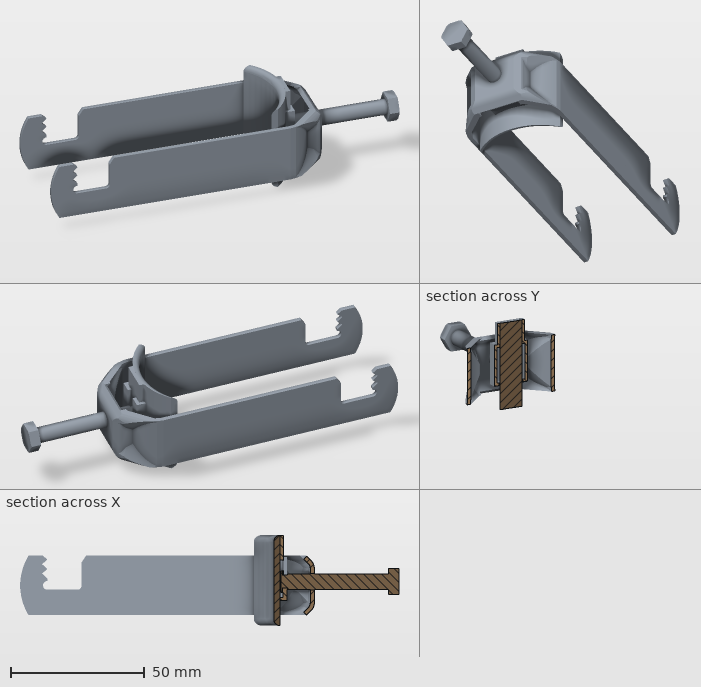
import cadquery as cq
import math


bracket_width = 39.0
sheet = 1.7
bracket_top = 9.6
bracket_bottom = -12.6
bracket_mid = (bracket_top + bracket_bottom) / 2
bracket_half_height = (bracket_top - bracket_bottom) / 2
web_y = 110.1
web_half_length = 8.2
leg_end_y = 94.1
lip_size = 3.0
lip_bend_radius = 4.3
corner_lip_size = 1.8
corner_mid = (15.3, 104.1)
corner_face_distance = 84.7

end_bulge = 3.1
slot_wall_y = 23.0
slot_floor_z = -3.1
slot_corner_radius = 1.4
slot_chamfer_y = 1.7
slot_chamfer_z = 2.5
tooth_tip_y = 10.2
tooth_depth = 2.0
tooth_pitch = 3.5
first_tooth_z = 8.2
tooth_count = 3
top_land_y = 8.5
hook_round = 3.3

dimple_lip_x = 11.0
dimple_lip_radius = 3.0
dimple_root = (11.6, 103.3)
dimple_floor_mid = (15.9, 100.2)
dimple_end = (19.3, 96.0)
dimple_root_half = 3.4
dimple_end_half = 10.2
dimple_side_slope = 1.7

bolt_diameter = 6.1
bolt_end_y = 141.7
head_height = 4.0
head_across_corners = 11.5
head_chamfer = 0.4
neck_diameter = 5.1
collar_diameter = 8.2

saddle_size = 34.0
saddle_top = 17.4
saddle_radius = 23.4
saddle_thickness = 2.5
saddle_crown_y = 97.3
saddle_edge_radius = 2.4

clip_width = 14.2
clip_outer_y = 99.9
clip_plate = 1.7
clip_wall = 1.3
clip_bottom = -7.1
clip_top = 9.2
tab_width = 11.6
tab_outer_y = 98.5
clip_plate_y = clip_outer_y - clip_plate

beyond = 28.3


def disc(diameter, y_from, y_to):
    """A cylinder on the bolt axis."""
    return cq.Workplane("XZ", origin=(0, y_to, 0)).circle(diameter / 2).extrude(y_to - y_from)


def block(x_size, y_from, y_to, z_from, z_to):
    """A box centred on X = 0."""
    return (
        cq.Workplane("XY", origin=(0, (y_from + y_to) / 2, z_from))
        .rect(x_size, y_to - y_from)
        .extrude(z_to - z_from)
    )


def folded_bar(face_distance, lip, inset):
    """A long bar whose +Y face folds back at 45 degrees along its upper and lower edges."""
    face = face_distance - inset
    fold_sum = face_distance + bracket_half_height - lip - inset * math.sqrt(2)
    fold_z = fold_sum - face
    back_z = fold_z + beyond
    return (
        cq.Workplane("YZ", origin=(-bolt_end_y, 0, bracket_mid))
        .polyline([
            (face, -fold_z), (face, fold_z), (face - beyond, back_z),
            (-bolt_end_y, back_z), (-bolt_end_y, -back_z), (face - beyond, -back_z),
        ])
        .close()
        .extrude(2 * bolt_end_y)
        .edges("|X and >Y")
        .fillet(lip_bend_radius - inset)
    )


def bracket_envelope(inset, half_height):
    """The filled U shape, moved inwards by inset, with folded edges at the web and corners."""
    half_width = bracket_width / 2 - inset
    web = web_y - inset
    mid_x = corner_mid[0] - inset / math.sqrt(2)
    mid_y = corner_mid[1] - inset / math.sqrt(2)
    filled = (
        cq.Workplane("XY", origin=(0, 0, bracket_mid - half_height))
        .moveTo(-half_width, 0)
        .lineTo(-half_width, leg_end_y)
        .threePointArc((-mid_x, mid_y), (-web_half_length, web))
        .lineTo(web_half_length, web)
        .threePointArc((mid_x, mid_y), (half_width, leg_end_y))
        .lineTo(half_width, 0)
        .close()
        .extrude(2 * half_height)
    )
    corner_bar = folded_bar(corner_face_distance, corner_lip_size, inset)
    envelope = filled.intersect(folded_bar(web_y, lip_size, inset))
    for turn in (45, -45):
        envelope = envelope.intersect(corner_bar.rotate((0, 0, 0), (0, 0, 1), turn))
    return envelope


def lip_trim(side):
    """Squares the edge of one web lip to its 45 degree slope; side is +1 above, -1 below."""
    edge_y = web_y - lip_size
    depth = 2 * sheet
    return (
        cq.Workplane("YZ", origin=(-web_half_length, 0, bracket_mid))
        .moveTo(edge_y, side * bracket_half_height)
        .lineTo(edge_y - depth, side * (bracket_half_height - depth))
        .lineTo(edge_y - depth, side * bracket_half_height)
        .close()
        .extrude(2 * web_half_length)
    )


def dimple_profile(inset):
    """Everything outside the dimple wall and floor, seen along Z, at full bracket height."""
    diagonal_step = inset / math.sqrt(2)
    lip_radius = dimple_lip_radius - inset
    lip_end = (dimple_lip_x - dimple_lip_radius, web_y - inset)
    lip_start = (lip_end[0] + lip_radius, lip_end[1] - lip_radius)
    root = (dimple_root[0] - inset, dimple_root[1] - inset / 2)
    floor_mid = (dimple_floor_mid[0] - diagonal_step, dimple_floor_mid[1] - diagonal_step)
    end = (dimple_end[0] - inset, dimple_end[1])
    return (
        cq.Workplane("XY", origin=(0, 0, bracket_mid - bracket_half_height))
        .moveTo(*root)
        .threePointArc(floor_mid, end)
        .lineTo(end[0] + beyond, end[1])
        .lineTo(end[0] + beyond, web_y + beyond)
        .lineTo(lip_end[0], web_y + beyond)
        .lineTo(*lip_end)
        .radiusArc(lip_start, lip_radius)
        .close()
        .extrude(2 * bracket_half_height)
    )


def dimple_section(root_half, spread):
    """Corner points of the dimple at one level: a band that widens from the lip to the leg."""
    before_lip = -8.5
    past_lip = -2.1
    past_end = 17.0
    narrow = root_half + spread * past_lip
    wide = root_half + spread * past_end
    return [
        (before_lip, -narrow), (past_lip, -narrow), (past_end, -wide),
        (past_end, wide), (past_lip, narrow), (before_lip, narrow),
    ]


def dimple(inset):
    """The dimple at the +X corner, grown inwards by inset; its sides slope open along the diagonal."""
    length = math.hypot(dimple_end[0] - dimple_root[0], dimple_end[1] - dimple_root[1])
    spread = (dimple_end_half - dimple_root_half) / length
    height = 8.5
    floor_half = dimple_root_half + inset
    diagonal = cq.Plane(
        origin=(dimple_root[0], dimple_root[1], bracket_mid), xDir=(1, -1, 0), normal=(1, 1, 0)
    )
    sides = (
        cq.Workplane(diagonal)
        .workplane(offset=-inset)
        .polyline(dimple_section(floor_half - dimple_side_slope * inset, spread))
        .close()
        .workplane(offset=inset + height)
        .polyline(dimple_section(floor_half + dimple_side_slope * height, spread))
        .close()
        .loft(ruled=True)
    )
    return dimple_profile(inset).intersect(sides)


def leg_outline():
    """The side profile of the legs, with hook, teeth and bulged end, as a long bar in X."""
    half_pitch = tooth_pitch / 2
    last_tip_z = slot_floor_z + hook_round
    outline = (
        cq.Workplane("YZ", origin=(-bracket_width, 0, 0))
        .moveTo(bolt_end_y, bracket_bottom)
        .lineTo(bolt_end_y, bracket_top)
        .lineTo(slot_wall_y + slot_chamfer_y, bracket_top)
        .lineTo(slot_wall_y, bracket_top - slot_chamfer_z)
        .lineTo(slot_wall_y, slot_floor_z + slot_corner_radius)
        .radiusArc((slot_wall_y - slot_corner_radius, slot_floor_z), slot_corner_radius)
        .lineTo(tooth_tip_y, slot_floor_z)
        .threePointArc(
            (tooth_tip_y - hook_round / 2, slot_floor_z + hook_round / 2), (tooth_tip_y, last_tip_z)
        )
    )
    for tooth in reversed(range(tooth_count)):
        tip_z = first_tooth_z - tooth * tooth_pitch
        outline = outline.lineTo(tooth_tip_y, tip_z)
        if tooth > 0:
            outline = outline.lineTo(tooth_tip_y - tooth_depth, tip_z + half_pitch)
    return (
        outline.lineTo(top_land_y, bracket_top)
        .lineTo(end_bulge, bracket_top)
        .threePointArc((0, bracket_mid), (end_bulge, bracket_bottom))
        .close()
        .extrude(2 * bracket_width)
    )


def make_bracket():
    outer = bracket_envelope(0, bracket_half_height)
    body = outer.cut(bracket_envelope(sheet, bracket_half_height + sheet))
    for side in (1, -1):
        body = body.cut(lip_trim(side))
    bump = dimple(sheet).intersect(outer)
    notch = dimple(0)
    body = body.union(bump).union(bump.mirror("YZ"))
    body = body.cut(notch).cut(notch.mirror("YZ"))
    body = body.intersect(leg_outline())
    return body.cut(disc(bolt_diameter, web_y - beyond, web_y + beyond))


def make_bolt():
    head = (
        cq.Workplane("XZ", origin=(0, bolt_end_y, 0))
        .polygon(6, head_across_corners)
        .extrude(head_height)
    )
    rounding = disc(head_across_corners, bolt_end_y - head_height, bolt_end_y)
    head = head.intersect(rounding.faces(">Y").chamfer(head_chamfer))
    shank = disc(bolt_diameter, clip_outer_y, bolt_end_y - head_height)
    neck = disc(neck_diameter, clip_plate_y, clip_outer_y)
    collar = disc(collar_diameter, saddle_crown_y, clip_plate_y)
    return head.union(shank).union(neck).union(collar)


def saddle_section(crown_y, bottom_y):
    """Everything under an arch of the saddle radius, as a bar along Z."""
    half = saddle_size / 2
    drop = saddle_radius - math.sqrt(saddle_radius**2 - half**2)
    return (
        cq.Workplane("XY", origin=(0, 0, saddle_top - saddle_size))
        .moveTo(-half, bottom_y)
        .lineTo(-half, crown_y - drop)
        .threePointArc((0, crown_y), (half, crown_y - drop))
        .lineTo(half, bottom_y)
        .close()
        .extrude(saddle_size)
    )


def make_saddle():
    bottom_y = saddle_crown_y - beyond
    hollow = saddle_section(saddle_crown_y - saddle_thickness, bottom_y)
    plate = saddle_section(saddle_crown_y, bottom_y).cut(hollow)
    return plate.edges("%CIRCLE").edges("<Y").fillet(saddle_edge_radius)


def make_clip():
    foot_y = saddle_crown_y - saddle_thickness
    channel = block(clip_width, foot_y, clip_outer_y, clip_bottom, clip_top)
    cavity = block(clip_width - 2 * clip_wall, foot_y, clip_plate_y, clip_bottom + clip_wall, clip_top)
    tab = block(tab_width, foot_y, tab_outer_y, clip_top, saddle_top)
    bridge = block(clip_width, foot_y, tab_outer_y, clip_top - clip_wall, clip_top)
    slot = disc(neck_diameter, clip_plate_y, clip_outer_y).union(
        block(neck_diameter, tab_outer_y, clip_outer_y, 0, clip_top)
    )
    body = channel.cut(cavity).cut(slot).union(bridge).union(tab)
    return body.cut(saddle_section(saddle_crown_y, saddle_crown_y - beyond))


bodies = [make_bracket(), make_bolt(), make_saddle(), make_clip()]
result = cq.Compound.makeCompound([body.solids().val() for body in bodies])